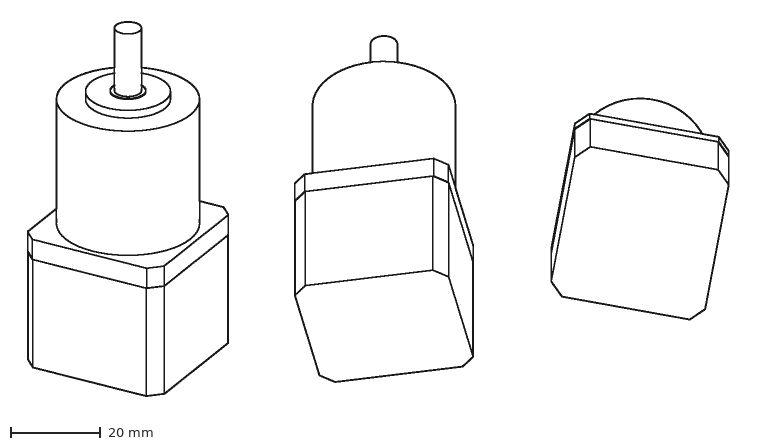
import cadquery as cq

total_height = 80.8
square_width = 35.0

motor_height = 27.0
motor_corner_chamfer = 3.0

flange_thickness = 5.0
flange_corner_chamfer = 2.8
gear_case_diameter = 32.0
gear_case_height = 31.0
boss_diameter = 19.0
boss_height = 1.9
collar_diameter = 8.0
collar_height = 0.2
shaft_diameter = 6.1
shaft_length = (
    total_height - motor_height - flange_thickness - gear_case_height - boss_height - collar_height
)


def chamfered_square_block(height, corner_chamfer):
    """Square block standing on Z = 0, with its four upright edges chamfered."""
    block = cq.Workplane("XY").rect(square_width, square_width).extrude(height)
    return block.edges("|Z").chamfer(corner_chamfer)


def add_round_step(body, diameter, height):
    """Add a coaxial cylinder on the top face of the body."""
    return body.faces(">Z").workplane(origin=(0, 0, 0)).circle(diameter / 2).extrude(height)


def make_motor():
    """Square motor body with chamfered corners."""
    return chamfered_square_block(motor_height, motor_corner_chamfer)


def make_gearbox():
    """Flange, round gear case, boss, collar and output shaft in one solid."""
    gearbox = chamfered_square_block(flange_thickness, flange_corner_chamfer)
    gearbox = add_round_step(gearbox, gear_case_diameter, gear_case_height)
    gearbox = add_round_step(gearbox, boss_diameter, boss_height)
    gearbox = add_round_step(gearbox, collar_diameter, collar_height)
    gearbox = add_round_step(gearbox, shaft_diameter, shaft_length)
    return gearbox.translate((0, 0, motor_height))


motor = make_motor()
gearbox = make_gearbox()

result = cq.Compound.makeCompound([motor.val(), gearbox.val()])